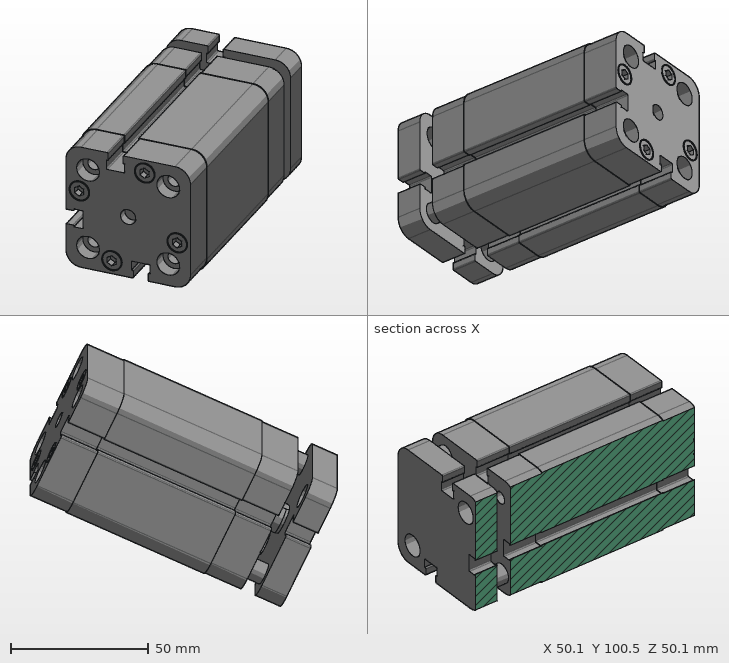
import cadquery as cq
LENGTH = 100.5
PLATE_THICKNESS = 10
GAP = 5.8
CAP_LENGTH = 14.6
REAR_FACE = -LENGTH / 2
PLATE_FRONT = LENGTH / 2
PLATE_BACK = PLATE_FRONT - PLATE_THICKNESS
CAP_FRONT = PLATE_BACK - GAP
BODY_FRONT = CAP_FRONT - CAP_LENGTH
BODY_REAR = REAR_FACE + CAP_LENGTH

BODY_SIDE = 50.1
CAP_INSET = 0.25
CORNER_RADIUS = 6.1
SLOT_OFFSET = 5
NECK_WIDTH = 5.4
NECK_DEPTH = 3.5
SLOT_WIDTH = 6.8
SLOT_DEPTH = 6.9
SLOT_ROUNDING = 0.4
SLOT_ANGLES = (0, 90, 180)

ROD_DIAMETER = 12.0
ROD_FLATS = 10
FLAT_END = 1.2
ROD_CHAMFER_LENGTH = 1.2
ROD_CHAMFER_DEPTH = 0.5

PIN_DIAMETER = 8
PIN_OFFSET = 16.9
PIN_CORNERS = ((-1, -1), (1, 1))
OPEN_CORNERS = ((-1, 1), (1, -1))
HOLE_OFFSET = 16.0
HOLE_DIAMETER = 5
BORE_DIAMETER = 9
BORE_DEPTH = 5.5
CENTER_HOLE_DIAMETER = 6
CENTER_HOLE_DEPTH = 3.8

SCREW_NEAR = 6.5
SCREW_FAR = 19.5
SCREW_HEAD_DIAMETER = 7.5
SCREW_SEAT_DIAMETER = 8
SCREW_GROOVE_DEPTH = 0.4
HEX_CORNERS = 4.1
HEX_DEPTH = 3


def plane_at(y):
    """XZ work plane at station y; local x is X, local y is Z, extrusion runs toward -Y."""
    return cq.Workplane(cq.Plane(origin=(0, y, 0), xDir=(1, 0, 0), normal=(0, -1, 0)))


def cylinder(x, z, diameter, y_start, y_end):
    return plane_at(y_start).center(x, z).circle(diameter / 2).extrude(y_start - y_end)


def slot(y_start, y_end, inset):
    """Round-edged T-slot opening on the +Z side; the inset widens it as much as it shrinks the outside."""
    top = BODY_SIDE / 2 - inset
    shoulder = BODY_SIDE / 2 - NECK_DEPTH
    floor = BODY_SIDE / 2 - SLOT_DEPTH - inset
    neck = NECK_WIDTH / 2 + inset
    wide = SLOT_WIDTH / 2 + inset
    r = SLOT_ROUNDING
    half = (
        plane_at(y_start)
        .moveTo(0, floor)
        .lineTo(wide - r, floor)
        .radiusArc((wide, floor + r), -r)
        .lineTo(wide, shoulder)
        .lineTo(neck + r, shoulder)
        .radiusArc((neck, shoulder + r), r)
        .lineTo(neck, top - r)
        .radiusArc((neck + r, top), r)
        .lineTo(0, top)
        .close()
        .extrude(y_start - y_end)
    )
    return half.union(half.mirror("YZ")).translate((-SLOT_OFFSET, 0, 0))


def slotted_block(y_start, y_end, inset):
    side = BODY_SIDE - 2 * inset
    block = plane_at(y_start).rect(side, side).extrude(y_start - y_end)
    block = block.edges("|Y").fillet(CORNER_RADIUS)
    for angle in SLOT_ANGLES:
        block = block.cut(slot(y_start, y_end, inset).rotate((0, 0, 0), (0, 1, 0), -angle))
    return block


def piston_rod():
    """Rod across the gap, with a coned end and flats that ramp out at 45 degrees."""
    radius = ROD_DIAMETER / 2
    profile = [
        (0, CAP_FRONT),
        (radius, CAP_FRONT),
        (radius, PLATE_BACK - ROD_CHAMFER_LENGTH),
        (radius - ROD_CHAMFER_DEPTH, PLATE_BACK),
        (0, PLATE_BACK),
    ]
    rod = cq.Workplane("XY").polyline(profile).close().revolve(360, (0, 0, 0), (0, 1, 0))
    flat = ROD_FLATS / 2
    ramp_end = flat + FLAT_END
    flat_outline = [
        (flat, PLATE_BACK),
        (flat, CAP_FRONT + FLAT_END),
        (ramp_end, CAP_FRONT),
        (ramp_end, PLATE_BACK),
    ]
    cutter = cq.Workplane("XY").polyline(flat_outline).close().extrude(ROD_DIAMETER, both=True)
    return rod.cut(cutter).cut(cutter.mirror("YZ"))


def corner_bore(corner, y_start, y_end):
    side_x, side_z = corner
    return cylinder(side_x * HOLE_OFFSET, side_z * HOLE_OFFSET, BORE_DIAMETER, y_start, y_end)


def corner_hole(corner, hole_end):
    """Counterbored hole drilled from the rear face up to station hole_end."""
    side_x, side_z = corner
    hole = cylinder(side_x * HOLE_OFFSET, side_z * HOLE_OFFSET, HOLE_DIAMETER, REAR_FACE, hole_end)
    return hole.union(corner_bore(corner, REAR_FACE, REAR_FACE + BORE_DEPTH))


def screw_recess(x, z):
    """Clearance ring around a flush screw head and its hexagon socket."""
    seat = cylinder(x, z, SCREW_SEAT_DIAMETER, REAR_FACE, REAR_FACE + SCREW_GROOVE_DEPTH)
    head = cylinder(x, z, SCREW_HEAD_DIAMETER, REAR_FACE, REAR_FACE + SCREW_GROOVE_DEPTH)
    socket = plane_at(REAR_FACE).center(x, z).transformed(rotate=(0, 0, 90))
    socket = socket.polygon(6, HEX_CORNERS).extrude(-HEX_DEPTH)
    return seat.cut(head).union(socket)


result = slotted_block(BODY_REAR, BODY_FRONT, 0)
for start, end in ((REAR_FACE, BODY_REAR), (BODY_FRONT, CAP_FRONT), (PLATE_BACK, PLATE_FRONT)):
    result = result.union(slotted_block(start, end, CAP_INSET))
result = result.union(piston_rod())
for side_x, side_z in PIN_CORNERS:
    pin = cylinder(side_x * PIN_OFFSET, side_z * PIN_OFFSET, PIN_DIAMETER, CAP_FRONT, PLATE_BACK)
    result = result.union(pin)

for corner in OPEN_CORNERS:
    result = result.cut(corner_hole(corner, CAP_FRONT))
    result = result.cut(corner_bore(corner, PLATE_BACK, PLATE_FRONT))
for corner in PIN_CORNERS:
    result = result.cut(corner_hole(corner, BODY_FRONT))

center_hole_end = REAR_FACE + CENTER_HOLE_DEPTH
result = result.cut(cylinder(0, 0, CENTER_HOLE_DIAMETER, REAR_FACE, center_hole_end))

screw_x = SCREW_NEAR
screw_z = SCREW_FAR
for _ in range(4):
    result = result.cut(screw_recess(screw_x, screw_z))
    screw_x, screw_z = -screw_z, screw_x